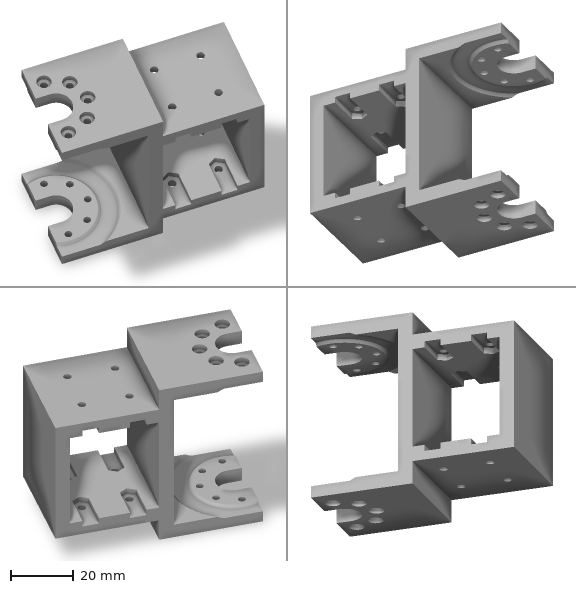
import cadquery as cq
import math

width = 36.0
length = 70.0
height = 59.5
wall = 5.0

box_length = 35.0
box_height = 44.0
box_opening_height = 33.9

box_hole_diameter = 2.7
box_hole_spacing = 16.0
nut_width = 5.5
nut_slot_depth = 2.1

axis_offset = 5.0
notch_width = 11.0
arm_hole_diameter = 2.5
counterbore_diameter = 5.0
counterbore_depth = 1.95
bolt_circle_radius = 10.9
bolt_angles = (0, 45, 90, 135, 180)

groove_depth = 1.0
groove_slope_run = 1.0
groove_inner_radius = 13.5
groove_outer_radius = 20.8

front_y = -length / 2
back_y = length / 2
web_back_y = back_y - box_length
web_front_y = web_back_y - wall
arm_inner_z = height / 2 - wall
box_opening_length = box_length - wall
box_opening_y = web_back_y + box_opening_length / 2
axis_y = front_y + axis_offset


def block(size_y, size_z, center_y):
    """Full-width block centred on X and Z."""
    return cq.Workplane("XY").box(width, size_y, size_z).translate((0, center_y, 0))


def frame_body():
    """Rear box joined to the open front fork, as plain plates."""
    fork_length = length - box_length
    arm_gap_length = web_front_y - front_y
    fork = block(fork_length, height, front_y + fork_length / 2)
    arm_gap = block(arm_gap_length, 2 * arm_inner_z, front_y + arm_gap_length / 2)
    box = block(box_length, box_height, web_back_y + box_length / 2)
    opening = block(box_opening_length, box_opening_height, box_opening_y)
    return fork.cut(arm_gap).union(box).cut(opening)


def box_screw_holes():
    """Four vertical holes through both box walls."""
    return (
        cq.Workplane("XY", origin=(0, box_opening_y, -height / 2))
        .rarray(box_hole_spacing, box_hole_spacing, 2, 2)
        .circle(box_hole_diameter / 2)
        .extrude(height)
    )


def nut_slots():
    """Slots from the box sides to each hole, ending in half a hexagon, in both walls."""
    hole_x = box_hole_spacing / 2
    corner_radius = nut_width / math.sqrt(3)
    half = nut_width / 2
    slot_height = box_opening_height + 2 * nut_slot_depth
    slot = (
        cq.Workplane("XY", origin=(0, box_opening_y + hole_x, -slot_height / 2))
        .moveTo(-width / 2, -half)
        .lineTo(-hole_x + corner_radius / 2, -half)
        .lineTo(-hole_x + corner_radius, 0)
        .lineTo(-hole_x + corner_radius / 2, half)
        .lineTo(-width / 2, half)
        .close()
        .extrude(slot_height)
    )
    pair = slot.union(slot.mirror("YZ"))
    return pair.union(pair.translate((0, -box_hole_spacing, 0)))


def arm_notch():
    """Round-ended notch through both arms, open at the front."""
    base = cq.Workplane("XY", origin=(0, axis_y, -height / 2))
    round_end = base.circle(notch_width / 2).extrude(height)
    mouth = base.center(0, -axis_offset / 2).rect(notch_width, axis_offset).extrude(height)
    return round_end.union(mouth)


def arm_screw_holes():
    """Bolt circle of holes in the upper arm, counterbored from its outer face."""
    points = [
        (
            bolt_circle_radius * math.cos(math.radians(angle)),
            bolt_circle_radius * math.sin(math.radians(angle)),
        )
        for angle in bolt_angles
    ]
    outer_face = cq.Workplane("XY", origin=(0, axis_y, height / 2)).pushPoints(points)
    holes = outer_face.circle(arm_hole_diameter / 2).extrude(-wall)
    counterbores = outer_face.circle(counterbore_diameter / 2).extrude(-counterbore_depth)
    return holes.union(counterbores)


def ring_groove():
    """Groove turned into the inner face of the upper arm."""
    return (
        cq.Workplane("XZ", origin=(0, axis_y, arm_inner_z))
        .moveTo(groove_inner_radius, 0)
        .lineTo(groove_inner_radius + groove_slope_run, groove_depth)
        .lineTo(groove_outer_radius - groove_slope_run, groove_depth)
        .lineTo(groove_outer_radius, 0)
        .close()
        .revolve(360, (0, 0, 0), (0, 1, 0))
    )


upper_arm_cuts = arm_screw_holes().union(ring_groove())

result = (
    frame_body()
    .cut(box_screw_holes())
    .cut(nut_slots())
    .cut(arm_notch())
    .cut(upper_arm_cuts)
    .cut(upper_arm_cuts.mirror("XY"))
)